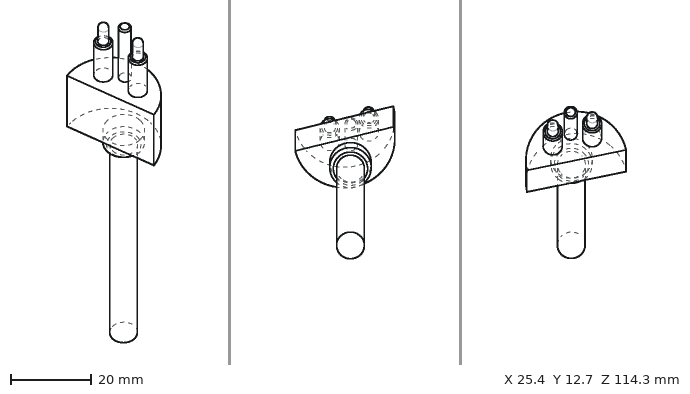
import cadquery as cq

total_height = 114.3

body_radius = 12.7
body_height = 19.1
body_top = 95.2
body_bottom = body_top - body_height

cable_diameter = 7.0
cable_y = body_radius / 2
collar_diameter = 10.4
collar_height = 5.5
collar_chamfer = 0.9

contact_x = 5.0
contact_y = 4.9
sleeve_diameter = 4.8
sleeve_height = 12.6
sleeve_chamfer = 0.5
tip_diameter = 2.7
tip_radius = tip_diameter / 2

center_pin_diameter = 3.2
center_pin_y = 7.0
center_pin_chamfer = 0.5

pin_height = total_height - body_top


def cylinder(x, y, base_z, diameter, height):
    """Upright cylinder standing on base_z."""
    return cq.Workplane("XY", origin=(x, y, base_z)).circle(diameter / 2).extrude(height)


def make_body():
    return (
        cq.Workplane("XY", origin=(0, 0, body_bottom))
        .moveTo(-body_radius, 0)
        .threePointArc((0, body_radius), (body_radius, 0))
        .close()
        .extrude(body_height)
    )


def make_cable():
    """Cable with its collar, which is chamfered at the lower end."""
    cable = cylinder(0, cable_y, 0, cable_diameter, body_bottom)
    collar = cylinder(0, cable_y, body_bottom - collar_height, collar_diameter, collar_height)
    return cable.union(collar.faces("<Z").chamfer(collar_chamfer))


def make_contact(x):
    """Chamfered sleeve carrying a thinner tip with a hemispherical end."""
    sleeve = cylinder(x, contact_y, body_top, sleeve_diameter, sleeve_height)
    sleeve = sleeve.faces(">Z").chamfer(sleeve_chamfer)
    dome_z = total_height - tip_radius
    tip = cylinder(x, contact_y, body_top, tip_diameter, dome_z - body_top)
    dome = cq.Workplane("XY", origin=(x, contact_y, dome_z)).sphere(tip_radius)
    return sleeve.union(tip).union(dome)


def make_center_pin():
    pin = cylinder(0, center_pin_y, body_top, center_pin_diameter, pin_height)
    return pin.faces(">Z").chamfer(center_pin_chamfer)


result = make_body().union(make_cable()).union(make_center_pin())
for side in (-1, 1):
    result = result.union(make_contact(side * contact_x))